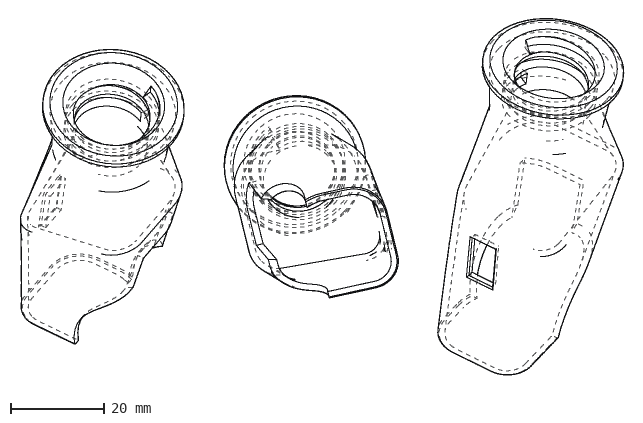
import cadquery as cq
import math


def run_per_rise(degrees):
    """Sideways run per unit of height of a direction leaning by the given angle."""
    return math.tan(math.radians(degrees))


wall = 1.55
back_lean = run_per_rise(6.4)
side_lean = run_per_rise(-9.8)
front_lean = run_per_rise(13.6)
back_x = 0.0
side_y = -5.75
front_x = 23.6
shoulder_slope = 15.0
shoulder_height = 35.85
belly_height = 23.3
far_side_y = {"foot": 17.8, "belly": 17.6, "shoulder": 16.5}
near_corner_radius = 6.2
far_back_radius = {"foot": 7.4, "belly": 9.3, "shoulder": 9.3}
far_front_radius = 10.9
foot_chamfer = 0.3

relief_start_x = 16.5
relief_radius = 26.7
relief_half_width = 77.6

cavity_middle_x = 15.5
beyond_x = (-3.9, 46.55)
window_y = (2.0, 8.15)
window_z = (22.9, 33.6)
window_chamfer = 0.4
opening_y = (-2.0, 12.2)

neck_base = (21.35, 0.58, 61.1)
neck_lean_x = run_per_rise(6.0)
neck_lean_y = run_per_rise(-2.9)
neck_base_radius = 12.3
neck_top_radius = 13.5
neck_length = 11.9
neck_seams = [162, 208, 253, 299, 340, 375, 435, 470]
rim_radius = 15.2
rim_shoulder_radius = 14.1
rim_top_radius = 13.7
rim_band_bottom = 13.1
rim_band_top = 14.2
rim_shoulder = 14.9
rim_top = 15.05

mouth_radius = 10.95
throat_radius = 8.1
mouth_depth = 3.9
thread_radius = 10.1
thread_pitch = 4.35
thread_root_height = 2.3
thread_flank_rise = 0.55
thread_start_angle = 70.0
thread_top = 12.9
thread_turns = 2.0

foot_plane = cq.Plane.XY()
belly_plane = cq.Plane.XY(origin=(0, 0, belly_height))
slope = math.radians(shoulder_slope)
shoulder_plane = cq.Plane(
    origin=(0, 0, shoulder_height),
    xDir=(math.cos(slope), 0, math.sin(slope)),
    normal=(-math.sin(slope), 0, math.cos(slope)),
)
neck_plane = cq.Plane(
    origin=neck_base,
    xDir=(1, 0, -neck_lean_x),
    normal=(neck_lean_x, neck_lean_y, 1),
)


def wire_of_sides(plane, corners, radii, inset):
    """Closed wire of a four-cornered outline, inset evenly, with rounded corners.

    Corners run counter-clockwise. The wire starts with the straight edge into corner 0.
    """
    count = len(corners)
    points = [cq.Vector(*corner) for corner in corners]
    runs = [(points[(i + 1) % count] - points[i]).normalized() for i in range(count)]
    arcs = []
    for i in range(count):
        before = runs[i - 1]
        after = runs[i]
        turn = math.atan2(before.cross(after).z, before.dot(after))
        corner = points[i] + (after - before) * (inset / math.sin(turn))
        radius = radii[i] - inset
        tangent_length = radius * math.tan(turn / 2)
        inward = (after - before).normalized()
        middle = corner + inward * (math.hypot(radius, tangent_length) - radius)
        arcs.append((corner - before * tangent_length, middle, corner + after * tangent_length))
    edges = []
    for i in range(count):
        start, middle, end = [plane.toWorldCoords(point) for point in arcs[i]]
        edges.append(cq.Edge.makeLine(plane.toWorldCoords(arcs[i - 1][2]), start))
        edges.append(cq.Edge.makeThreePointArc(start, middle, end))
    return cq.Wire.assembleEdges(edges)


def body_section(plane, level, inset=0.0):
    """Section of the grip where the given plane crosses its drafted sides."""
    rise = plane.xDir.z / plane.xDir.x
    stretch = math.hypot(1, rise)
    back = (back_x + back_lean * plane.origin.z) / (1 - back_lean * rise)
    front = (front_x + front_lean * plane.origin.z) / (1 - front_lean * rise)
    near_back = side_y + side_lean * (plane.origin.z + rise * back)
    near_front = side_y + side_lean * (plane.origin.z + rise * front)
    far = far_side_y[level]
    corners = [
        (back * stretch, near_back),
        (front * stretch, near_front),
        (front * stretch, far),
        (back * stretch, far),
    ]
    radii = [near_corner_radius, near_corner_radius, far_front_radius, far_back_radius[level]]
    return wire_of_sides(plane, corners, radii, inset)


def neck_circle(radius):
    """Circle at the base of the neck, split at the seams that meet the grip corners."""
    def point(angle):
        turn = math.radians(angle)
        return neck_plane.toWorldCoords((radius * math.cos(turn), radius * math.sin(turn), 0))

    ends = neck_seams[1:] + [neck_seams[0] + 360]
    edges = [
        cq.Edge.makeThreePointArc(point(a), point((a + b) / 2), point(b))
        for a, b in zip(neck_seams, ends)
    ]
    return cq.Wire.assembleEdges(edges)


def grip(inset, neck_radius):
    """Grip below the shoulder plus the transition from the shoulder to the round neck."""
    shoulder = body_section(shoulder_plane, "shoulder", inset)
    lower = cq.Solid.makeLoft([
        body_section(foot_plane, "foot", inset),
        body_section(belly_plane, "belly", inset),
        shoulder,
    ])
    upper = cq.Solid.makeLoft([shoulder, neck_circle(neck_radius)], True)
    return cq.Workplane(lower), cq.Workplane(upper)


def turned(profile):
    """Solid of revolution about the neck axis from (radius, height) points."""
    return (
        cq.Workplane(cq.Plane(neck_plane.origin, neck_plane.xDir, neck_plane.yDir * -1))
        .polyline(profile)
        .close()
        .revolve(360, (0, 0, 0), (0, 1, 0))
    )


def neck_and_rim():
    return turned([
        (0, 0),
        (neck_base_radius, 0),
        (neck_top_radius, neck_length),
        (rim_radius, rim_band_bottom),
        (rim_radius, rim_band_top),
        (rim_shoulder_radius, rim_shoulder),
        (rim_top_radius, rim_top),
        (0, rim_top),
    ])


def mouth():
    return turned([
        (0, 0),
        (throat_radius, 0),
        (throat_radius, rim_top - mouth_depth),
        (mouth_radius, rim_top),
        (0, rim_top),
    ])


def thread_groove():
    """Right-handed trapezoidal groove that runs out in the mouth flare."""
    height = thread_pitch * thread_turns
    overlap = 0.8
    inner = throat_radius - overlap
    half_root = thread_root_height / 2
    profile = [
        (inner, -half_root - thread_flank_rise),
        (thread_radius, -half_root),
        (thread_radius, half_root),
        (inner, half_root + thread_flank_rise),
    ]
    path = cq.Workplane(cq.Wire.makeHelix(thread_pitch, height, inner))
    groove = cq.Workplane("XZ").polyline(profile).close().sweep(path, isFrenet=True)
    first_angle = thread_start_angle - 360 * thread_turns
    groove = groove.rotate((0, 0, 0), (0, 0, 1), first_angle)
    groove = groove.translate((0, 0, thread_top - height))
    return cq.Workplane(groove.val().moved(cq.Location(neck_plane)))


def foot_relief():
    return (
        cq.Workplane("XZ")
        .center(relief_start_x + relief_radius, 0)
        .circle(relief_radius)
        .extrude(relief_half_width, both=True)
    )


def block(x_range, y_range, z_range):
    spans = zip(x_range, y_range, z_range)
    corner, opposite = [cq.Vector(*ends) for ends in spans]
    size = opposite - corner
    return cq.Workplane(cq.Solid.makeBox(size.x, size.y, size.z, corner))


def window():
    return block((beyond_x[0], cavity_middle_x), window_y, window_z)


def front_opening():
    """Opening opposite the window, open downwards into the foot relief."""
    return block((cavity_middle_x, beyond_x[1]), opening_y, (0, window_z[1]))


def window_bevel():
    """Tapered tool that bevels the window where it breaks the leaning -X face."""
    middle_y = sum(window_y) / 2
    middle_z = sum(window_z) / 2
    width = window_y[1] - window_y[0]
    height = window_z[1] - window_z[0]
    face = cq.Plane(
        origin=(back_x + back_lean * middle_z, middle_y, middle_z),
        xDir=(0, -1, 0),
        normal=(-1, 0, back_lean),
    )
    return (
        cq.Workplane(face)
        .workplane(offset=-window_chamfer)
        .rect(width, height)
        .workplane(offset=2 * window_chamfer)
        .rect(width + 4 * window_chamfer, height + 4 * window_chamfer)
        .loft()
    )


lower, upper = grip(0, neck_base_radius)
lower = lower.faces("<Z").chamfer(foot_chamfer)
result = lower.union(upper).union(neck_and_rim())

lower_cavity, upper_cavity = grip(wall, throat_radius)
cuts = [
    lower_cavity,
    upper_cavity,
    mouth(),
    thread_groove(),
    foot_relief(),
    window(),
    window_bevel(),
    front_opening(),
]
for tool in cuts:
    result = result.cut(tool)